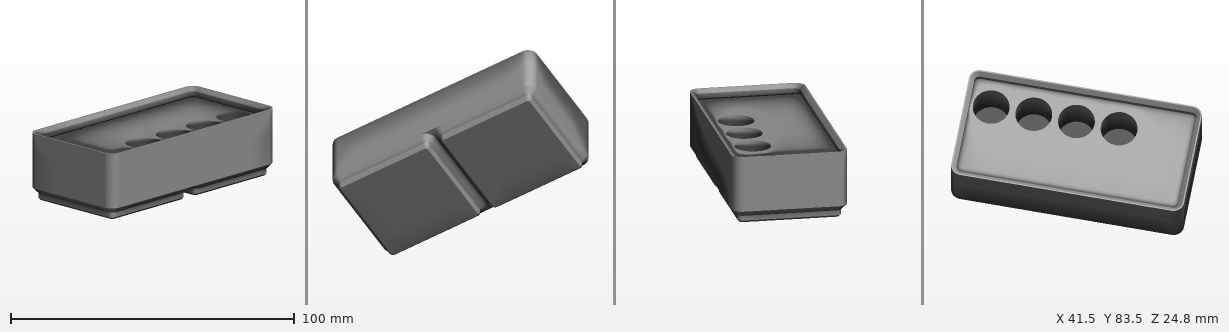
import cadquery as cq

foot_pitch = 42.0
foot_count = 2
foot_gap = 0.5
body_width = foot_pitch - foot_gap
body_length = foot_count * foot_pitch - foot_gap
total_height = 24.8
corner_radius = 3.75

foot_bevel = 0.8
foot_band = 1.8
foot_flare = 2.15
foot_height = foot_bevel + foot_band + foot_flare

floor_z = 21.0
rim_thickness = 1.9
rim_land = 0.5
rim_bevel = rim_thickness - rim_land
rim_band = 1.8
rim_undercut = total_height - rim_bevel - rim_band - floor_z

hole_diameter = 13.0
hole_depth = 14.0
hole_count = 4
hole_pitch = 15.3
hole_x = 9.0
first_hole_y = 32.3

SLOPE = 45.0


def layer(length, inset, bottom_z, height, taper=0.0):
    """Rounded slab of body width, inset on all sides; a positive taper narrows it upwards."""
    outline = (
        cq.Sketch()
        .rect(body_width - 2 * inset, length - 2 * inset)
        .vertices()
        .fillet(corner_radius - inset)
    )
    return cq.Workplane("XY").workplane(offset=bottom_z).placeSketch(outline).extrude(height, taper=taper)


def make_foot():
    """One square foot, narrowing in steps towards the bottom."""
    band_top = foot_bevel + foot_band
    bevel = layer(body_width, foot_flare + foot_bevel, 0, foot_bevel, -SLOPE)
    band = layer(body_width, foot_flare, foot_bevel, foot_band)
    flare = layer(body_width, foot_flare, band_top, foot_flare, -SLOPE)
    return bevel.union(band).union(flare)


def make_recess():
    """Space above the floor, undercutting the rim below and widening into its bevel above."""
    band_bottom = floor_z + rim_undercut
    undercut = layer(body_length, rim_thickness - rim_undercut, floor_z, rim_undercut, SLOPE)
    band = layer(body_length, rim_thickness, band_bottom, rim_band)
    bevel = layer(body_length, rim_thickness, band_bottom + rim_band, rim_bevel, -SLOPE)
    return undercut.union(band).union(bevel)


def make_holes():
    """Row of round holes reaching down from the floor."""
    centres = [(hole_x, first_hole_y - i * hole_pitch) for i in range(hole_count)]
    floor = cq.Workplane("XY").workplane(offset=floor_z)
    return floor.pushPoints(centres).circle(hole_diameter / 2).extrude(-hole_depth)


result = layer(body_length, 0, foot_height, total_height - foot_height)
for i in range(foot_count):
    foot_y = (i - (foot_count - 1) / 2) * foot_pitch
    result = result.union(make_foot().translate((0, foot_y, 0)))
result = result.cut(make_recess()).cut(make_holes())